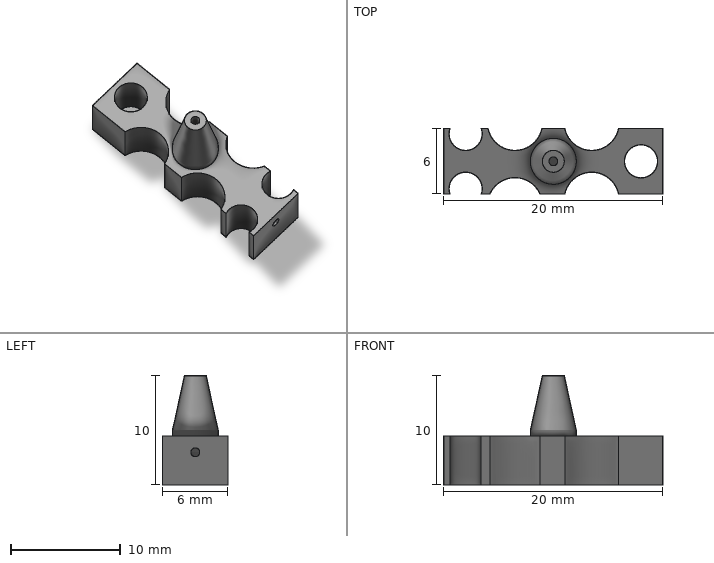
import cadquery as cq

length = 20.0
width = 6.0
block_height = 4.5

nozzle_x = length / 2
nozzle_base_diameter = 4.2
nozzle_tip_diameter = 2.0
collar_height = 0.5
cone_height = 5.0
nozzle_top = block_height + collar_height + cone_height

passage_diameter = 0.8
chamber_diameter = 3.0
chamber_floor_z = 1.5
dome_center_z = block_height - chamber_diameter / 2
channel_z = dome_center_z

end_hole_diameter = 3.0
end_hole_x = 18.0

scallops = [
    (2.0, 3.0, 2.0, 2.0),
    (6.5, 5.0, 1.5, 2.0),
    (13.5, 5.0, 2.0, 2.0),
]


def vertical_cylinder(x, y, bottom, diameter, height):
    return cq.Workplane("XY", origin=(x, y, bottom)).circle(diameter / 2).extrude(height)


def scallop_cutter(x, diameter, depth, side):
    """Full-height cylinder biting into the long side at -Y (side = -1) or +Y (side = 1)."""
    y = side * (width / 2 - depth + diameter / 2)
    return vertical_cylinder(x, y, 0, diameter, block_height)


def make_block():
    block = cq.Workplane("XY").box(length, width, block_height, centered=(False, True, False))
    for x, diameter, front_depth, back_depth in scallops:
        block = block.cut(scallop_cutter(x, diameter, front_depth, -1))
        block = block.cut(scallop_cutter(x, diameter, back_depth, 1))
    return block.cut(vertical_cylinder(end_hole_x, 0, 0, end_hole_diameter, block_height))


def make_nozzle():
    """Short cylindrical collar topped by a cone, revolved about the nozzle axis."""
    return (
        cq.Workplane("XZ", origin=(nozzle_x, 0, block_height))
        .lineTo(nozzle_base_diameter / 2, 0)
        .lineTo(nozzle_base_diameter / 2, collar_height)
        .lineTo(nozzle_tip_diameter / 2, collar_height + cone_height)
        .lineTo(0, collar_height + cone_height)
        .close()
        .revolve(360, (0, 0, 0), (0, 1, 0))
    )


def make_chamber():
    """Flat-floored cylinder closed above by a hemisphere that reaches the block's top plane."""
    dome = cq.Workplane("XY", origin=(nozzle_x, 0, dome_center_z)).sphere(
        chamber_diameter / 2, angle1=0
    )
    wall_height = dome_center_z - chamber_floor_z
    return vertical_cylinder(nozzle_x, 0, chamber_floor_z, chamber_diameter, wall_height).union(dome)


def make_channel():
    """Horizontal hole from the -X face into the chamber."""
    return (
        cq.Workplane("YZ", origin=(0, 0, channel_z))
        .circle(passage_diameter / 2)
        .extrude(nozzle_x)
    )


def make_bore():
    """Vertical hole from the nozzle tip into the chamber."""
    bore_length = nozzle_top - dome_center_z
    return vertical_cylinder(nozzle_x, 0, dome_center_z, passage_diameter, bore_length)


result = make_block().union(make_nozzle())
for cavity in (make_chamber(), make_channel(), make_bore()):
    result = result.cut(cavity)